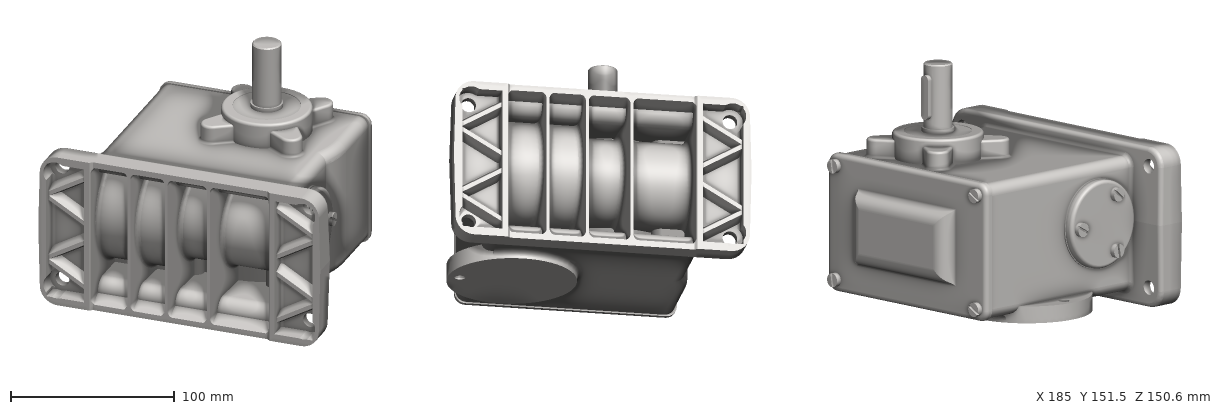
import cadquery as cq
import math


foot_height = 99.9
foot_half_width = 92.5
foot_end_half_width = 91.2
foot_parting_z = 3.0
foot_thickness = 18.5
foot_end_thickness = 16.8
foot_corner_radius = 11.7
foot_back_fillet = 2.8
relief_depth = 1.7
relief_half_width = 57.4

bolt_hole_diameter = 9.0
bolt_x = 81.2
bolt_spacing_z = 75.8
bolt_center_z = 0.5
bolt_z = (bolt_center_z - bolt_spacing_z / 2, bolt_center_z + bolt_spacing_z / 2)
pocket_inner_x = 62.3
pocket_outer_x = 87.3
pocket_half_height = 45.0
pocket_depth = 11.7
pocket_corner_radius = 8.0
pocket_floor_fillet = 1.8
brace_base_width = 7.8
brace_height = 8.0
brace_taper = 18.0
brace_angle = 30.0
brace_inner_offset = 15.7
brace_apex_z = 21.5

housing_left_x = -66.0
housing_narrow_x = 65.7
housing_half_height = 42.2
housing_front_y = 9.2
housing_back_y = 137.5
housing_edge_fillet = 6.8
housing_foot_fillet = 2.2
shaft_x = 18.5
shaft_y = 99.9
housing_shoulder_radius = 51.8
housing_wide_x = shaft_x + housing_shoulder_radius

bays_half_width = 58.5
rib_x = (-33.7, -9.2, 18.5)
rib_tip_thickness = 1.7
bay_corner_radius = 4.3
rib_draft = 3.0
bay_mouth_half_height = 46.6
bay_step_half_height = 43.5
bay_step_y = 13.0
bay_inner_half_height = 35.2
bay_depth = 51.8
drum_radii = (36.0, 36.0, 28.3, 28.3)
bearing_wall_radius = 55.5
bearing_recess_half_width = 20.4
shoulder_wall_y = 41.6
shoulder_wall_fillet = 5.5
drum_fillet = 2.5

cover_y = 47.2
cover_z = 5.2
cover_pad_diameter = 56.0
cover_pad_reach = 67.0
cover_diameter = 55.0
cover_reach = 72.2
cover_fillet = 2.2
cover_screw_circle_radius = 20.4
cover_slot_angles = (60, 50, 10)
cover_bury_x = 61.0

screw_diameter = 8.7
screw_head_height = 3.3
screw_slot_width = 1.5
screw_slot_depth = 1.7

cap_back_y = 142.6
cap_left_x = -66.6
cap_right_x = 71.6
cap_half_height = 43.1
cap_fillet = 3.0
dome_left_x = -39.4
dome_right_x = 44.5
dome_size_z = 46.6
dome_back_y = 151.5
dome_taper = 29.0
dome_fillet = 8.1
dome_base_fillet = 1.5
cap_screw_x = (-58.8, 64.0)
cap_screw_z = 35.5
cap_slot_angles = (60, 10)

boss_diameter = 56.0
boss_top_z = 58.3
boss_fillet = 1.8
seal_diameter = 41.8
seal_recess = 0.4
lug_offset = 25.9
lug_tip_radius = 7.0
lug_flare = 12.0
lug_top_z = 53.8
lug_fillet = 1.7
collar_diameter = 20.0
collar_top_z = 60.5
neck_diameter = 17.8
neck_top_z = 62.3
shaft_diameter = 18.0
shaft_top_z = 100.6
shaft_chamfer = 0.7
key_width = 6.1
key_reach = 11.7
key_bottom_z = 66.5
key_top_z = 94.2

flange_x = -41.3
flange_y = 82.3
flange_diameter = 80.0
flange_bottom_z = -47.5
flange_thickness = 10.5
flange_hole_diameter = 6.7
flange_hole_offset = 32.2
flange_flare = 3.7

pick_margin = 0.2


def box_between(x0, x1, y0, y1, z0, z1):
    """Box given by its two limits on every axis."""
    return cq.Workplane("XY").box(x1 - x0, y1 - y0, z1 - z0, centered=False).translate((x0, y0, z0))


def plane_facing_back(x, y, z):
    """Workplane whose normal is +Y; its local second axis is -Z."""
    return cq.Workplane(cq.Plane(origin=(x, y, z), xDir=(1, 0, 0), normal=(0, 1, 0)))


def slotted_screw(position, outward, slot_angle):
    """Screw head standing on a face; the slot angle turns about the outward direction."""
    seat = cq.Workplane(cq.Plane(origin=position, xDir=(0, 0, 1), normal=outward))
    head = seat.circle(screw_diameter / 2).extrude(screw_head_height)
    slot = (
        seat.workplane(offset=screw_head_height - screw_slot_depth)
        .transformed(rotate=(0, 0, slot_angle))
        .rect(2 * screw_diameter, screw_slot_width)
        .extrude(2 * screw_slot_depth)
    )
    return head.cut(slot)


def make_foot_half(end_z):
    """Half of the foot, drafted from the parting line to the end at end_z."""
    outline = (
        cq.Workplane("XZ")
        .polyline([
            (-foot_half_width, foot_parting_z),
            (-foot_end_half_width, end_z),
            (foot_end_half_width, end_z),
            (foot_half_width, foot_parting_z),
        ])
        .close()
        .extrude(-foot_thickness)
    )
    end_face, parting_edge = ("<Z", ">Z") if end_z < 0 else (">Z", "<Z")
    outline = outline.faces(end_face).edges("|Y").fillet(foot_corner_radius)
    side_profile = (
        cq.Workplane("YZ")
        .polyline([
            (0, foot_parting_z),
            (0, end_z),
            (foot_end_thickness, end_z),
            (foot_thickness, foot_parting_z),
        ])
        .close()
        .extrude(foot_half_width, both=True)
    )
    half = outline.intersect(side_profile)
    return half.faces(">Y").edges(f"not(|X and {parting_edge})").fillet(foot_back_fillet)


def make_foot():
    """Foot flange, split at the parting line of its draft."""
    return make_foot_half(foot_height / 2).union(make_foot_half(-foot_height / 2))


def make_relief():
    """Bevelled channel across the mounting face."""
    relief_edge = relief_half_width + relief_depth
    return (
        cq.Workplane("XY")
        .workplane(offset=-foot_height)
        .polyline([
            (-relief_edge, 0),
            (-relief_half_width, relief_depth),
            (relief_half_width, relief_depth),
            (relief_edge, 0),
        ])
        .close()
        .extrude(2 * foot_height)
    )


def make_foot_pocket(side):
    """Lightening pocket with its zigzag of braces left standing; side is -1 or +1."""
    pocket = box_between(
        pocket_inner_x, pocket_outer_x, 0, pocket_depth, -pocket_half_height, pocket_half_height
    )
    pocket = pocket.faces(">Y").edges("|Z").fillet(pocket_floor_fillet)
    for z in bolt_z:
        corner = plane_facing_back(bolt_x, 0, z).circle(pocket_corner_radius).extrude(pocket_depth)
        pocket = pocket.union(corner)
    run = pocket_outer_x - pocket_inner_x
    brace_length = 2 * run
    slope = math.radians(brace_angle)
    for apex_z in (-brace_apex_z, brace_apex_z):
        for lean in (-1, 1):
            middle_z = apex_z + lean * (brace_inner_offset - run / 2 * math.tan(slope))
            middle = ((pocket_inner_x + pocket_outer_x) / 2, pocket_depth, middle_z)
            along = (-math.cos(slope), 0, lean * math.sin(slope))
            brace = (
                cq.Workplane(cq.Plane(origin=middle, xDir=along, normal=(0, -1, 0)))
                .rect(brace_length, brace_base_width)
                .extrude(brace_height, taper=brace_taper)
            )
            pocket = pocket.cut(brace)
    return pocket if side > 0 else pocket.mirror("YZ")


def make_housing():
    """Rounded box, widened on the right by an arc round the output shaft."""
    height = 2 * housing_half_height
    body = box_between(
        housing_left_x,
        housing_narrow_x,
        housing_front_y,
        housing_back_y,
        -housing_half_height,
        housing_half_height,
    )
    body = body.edges("|Y").fillet(housing_edge_fillet)
    diagonal = housing_shoulder_radius * math.sqrt(0.5)
    shoulder = (
        cq.Workplane("XY")
        .workplane(offset=-housing_half_height)
        .moveTo(shaft_x, shaft_y - housing_shoulder_radius)
        .threePointArc((shaft_x + diagonal, shaft_y - diagonal), (housing_wide_x, shaft_y))
        .lineTo(housing_wide_x, housing_back_y)
        .lineTo(shaft_x, housing_back_y)
        .close()
        .extrude(height)
    )
    right_wall_edges = shoulder.faces(">X").edges("|Y").add(shoulder.edges("%CIRCLE"))
    shoulder = shoulder.newObject(right_wall_edges.vals()).fillet(housing_edge_fillet)
    return body.union(shoulder)


def make_bay_back_wall():
    """Material behind the bays: the round bearing wall between two flat shoulders."""
    wall = (
        cq.Workplane("XY")
        .workplane(offset=-foot_height)
        .center(shaft_x, shaft_y)
        .circle(bearing_wall_radius)
        .extrude(2 * foot_height)
    )
    for side, recess_edge in ((-1, ">X"), (1, "<X")):
        x_limits = sorted((shaft_x + side * bearing_recess_half_width, side * foot_half_width))
        shoulder = box_between(*x_limits, shoulder_wall_y, shaft_y, -foot_height, foot_height)
        shoulder = shoulder.edges(f"|Z and <Y and {recess_edge}").fillet(shoulder_wall_fillet)
        wall = wall.union(shoulder)
    return wall


def make_bay_prism(x_min, x_max, is_first, is_last):
    """Opening between two neighbouring ribs; the outer walls of the end bays have no draft."""
    rib_growth = bay_depth * math.tan(math.radians(rib_draft))
    back_x_min = x_min if is_first else x_min + rib_growth
    back_x_max = x_max if is_last else x_max - rib_growth
    return (
        cq.Workplane("XY")
        .workplane(offset=-bay_mouth_half_height)
        .polyline([(x_min, 0), (x_max, 0), (back_x_max, bay_depth), (back_x_min, bay_depth)])
        .close()
        .extrude(2 * bay_mouth_half_height)
        .faces(">Z or <Z")
        .edges("not(|X)")
        .fillet(bay_corner_radius)
    )


def make_bay_section():
    """Side section of the bays: a wide mouth in the foot that rounds over into the housing."""
    step_radius = bay_step_half_height - bay_inner_half_height
    step_end_y = bay_step_y + step_radius
    return (
        cq.Workplane("YZ")
        .moveTo(0, bay_mouth_half_height)
        .lineTo(bay_step_y, bay_step_half_height)
        .radiusArc((step_end_y, bay_inner_half_height), -step_radius)
        .lineTo(bay_depth, bay_inner_half_height)
        .lineTo(bay_depth, -bay_inner_half_height)
        .lineTo(step_end_y, -bay_inner_half_height)
        .radiusArc((bay_step_y, -bay_step_half_height), -step_radius)
        .lineTo(0, -bay_mouth_half_height)
        .close()
        .extrude(foot_half_width, both=True)
    )


def make_bay(index):
    """Open bay wrapped around the wheel drum, counted from the left."""
    drum_radius = drum_radii[index]
    is_first = index == 0
    is_last = index == len(rib_x)
    x_min = -bays_half_width if is_first else rib_x[index - 1] + rib_tip_thickness / 2
    x_max = bays_half_width if is_last else rib_x[index] - rib_tip_thickness / 2
    drum = (
        cq.Workplane("YZ")
        .center(cover_y, cover_z)
        .circle(drum_radius)
        .extrude(foot_half_width, both=True)
    )
    bay = make_bay_prism(x_min, x_max, is_first, is_last).intersect(make_bay_section()).cut(drum)
    drum_front = ((x_min + x_max) / 2, cover_y - drum_radius, cover_z)
    drum_face = bay.faces("%CYLINDER").faces(cq.selectors.NearestToPointSelector(drum_front))
    bay = drum_face.edges("not(|X)").fillet(drum_fillet)
    return bay.cut(make_bay_back_wall())


def make_cover(side):
    """Round bearing cover on a pad, held by three slotted screws; side is -1 or +1."""
    facing = cq.Workplane("YZ").center(cover_y, cover_z)
    pad = facing.circle(cover_pad_diameter / 2).extrude(side * cover_pad_reach)
    plate = facing.circle(cover_diameter / 2).extrude(side * cover_reach)
    plate = plate.faces("<X" if side < 0 else ">X").edges().fillet(cover_fillet)
    cover = pad.union(plate)
    buried = box_between(
        -cover_bury_x, cover_bury_x, 0, housing_back_y, -housing_half_height, housing_half_height
    )
    cover = cover.cut(buried)
    for index, slot_angle in enumerate(cover_slot_angles):
        angle = math.radians(index * 360 / len(cover_slot_angles))
        position = (
            side * cover_reach,
            cover_y + cover_screw_circle_radius * math.cos(angle),
            cover_z + cover_screw_circle_radius * math.sin(angle),
        )
        cover = cover.union(slotted_screw(position, (side, 0, 0), slot_angle))
    return cover


def make_cap():
    """Rear cap with its dome and four slotted screws."""
    cap = box_between(
        cap_left_x, cap_right_x, housing_back_y, cap_back_y, -cap_half_height, cap_half_height
    )
    cap = cap.edges("|Y").fillet(housing_edge_fillet).faces(">Y").edges().fillet(cap_fillet)
    dome = (
        plane_facing_back((dome_left_x + dome_right_x) / 2, cap_back_y, 0)
        .rect(dome_right_x - dome_left_x, dome_size_z)
        .extrude(dome_back_y - cap_back_y, taper=dome_taper)
        .faces(">Y")
        .edges()
        .fillet(dome_fillet)
    )
    cap = cap.union(dome)
    dome_joint = cq.selectors.BoxSelector(
        (dome_left_x - pick_margin, cap_back_y - pick_margin, -dome_size_z),
        (dome_right_x + pick_margin, cap_back_y + pick_margin, dome_size_z),
        boundingbox=True,
    )
    cap = cap.edges(dome_joint).fillet(dome_base_fillet)
    for x, slot_angle in zip(cap_screw_x, cap_slot_angles):
        for z in (-cap_screw_z, cap_screw_z):
            cap = cap.union(slotted_screw((x, cap_back_y, z), (0, 1, 0), slot_angle))
    return cap


def make_lug(turn):
    """Rounded lug pointing away from the boss, turned about the shaft axis."""
    flare = math.radians(lug_flare)
    reach = lug_offset * math.sqrt(2)
    tangent_x = reach + lug_tip_radius * math.sin(flare)
    tangent_y = lug_tip_radius * math.cos(flare)
    root_y = tangent_y + tangent_x * math.tan(flare)
    lug = (
        cq.Workplane("XY")
        .moveTo(0, -root_y)
        .lineTo(tangent_x, -tangent_y)
        .threePointArc((reach + lug_tip_radius, 0), (tangent_x, tangent_y))
        .lineTo(0, root_y)
        .close()
        .extrude(lug_top_z - housing_half_height)
    )
    lug = lug.faces(">Z").edges("not(<X)").fillet(lug_fillet)
    return lug.rotate((0, 0, 0), (0, 0, 1), turn).translate((shaft_x, shaft_y, housing_half_height))


def make_output():
    """Bearing boss with its four lugs, and the keyed output shaft."""
    axis = cq.Workplane("XY").center(shaft_x, shaft_y)
    boss = axis.circle(boss_diameter / 2).extrude(boss_top_z).faces(">Z").edges().fillet(boss_fillet)
    for turn in (45, 135, 225, 315):
        boss = boss.union(make_lug(turn))
    seal = axis.workplane(offset=boss_top_z - seal_recess).circle(seal_diameter / 2).extrude(seal_recess)
    boss = boss.cut(seal)
    collar = axis.circle(collar_diameter / 2).extrude(collar_top_z)
    neck = axis.circle(neck_diameter / 2).extrude(neck_top_z)
    shaft = (
        axis.workplane(offset=neck_top_z)
        .circle(shaft_diameter / 2)
        .extrude(shaft_top_z - neck_top_z)
        .faces(">Z")
        .chamfer(shaft_chamfer)
    )
    key = (
        cq.Workplane("XZ", origin=(shaft_x, shaft_y, (key_bottom_z + key_top_z) / 2))
        .slot2D(key_top_z - key_bottom_z, key_width, 90)
        .extrude(-key_reach)
    )
    return boss.union(collar).union(neck).union(shaft).union(key)


def make_motor_flange():
    """Round flange under the housing, flared where it meets the housing floor."""
    axis = cq.Workplane("XY").center(flange_x, flange_y)
    radius = flange_diameter / 2
    disc = axis.workplane(offset=flange_bottom_z).circle(radius).extrude(flange_thickness)
    flare = (
        cq.Workplane("XZ")
        .moveTo(0, -housing_half_height - flange_flare)
        .lineTo(radius, -housing_half_height - flange_flare)
        .radiusArc((radius + flange_flare, -housing_half_height), flange_flare)
        .lineTo(0, -housing_half_height)
        .close()
        .revolve(360, (0, 0, 0), (0, 1, 0))
        .translate((flange_x, flange_y, 0))
    )
    footprint = box_between(
        housing_left_x + housing_edge_fillet,
        housing_narrow_x,
        foot_thickness,
        housing_back_y,
        flange_bottom_z,
        0,
    )
    hole = (
        axis.workplane(offset=flange_bottom_z)
        .center(-flange_hole_offset, 0)
        .circle(flange_hole_diameter / 2)
        .extrude(flange_thickness)
    )
    return disc.union(flare.intersect(footprint)).cut(hole)


def make_shell():
    """Foot, housing and output bearing boss, blended where they meet."""
    shell = make_foot().union(make_housing())
    foot_joint = cq.selectors.BoxSelector(
        (housing_left_x - pick_margin, foot_end_thickness - pick_margin, -foot_height),
        (housing_narrow_x + pick_margin, foot_thickness + pick_margin, housing_half_height + pick_margin),
        boundingbox=True,
    )
    shell = shell.edges(foot_joint).fillet(housing_foot_fillet).union(make_output())
    lug_reach = lug_offset + 2 * lug_tip_radius
    boss_joint = cq.selectors.BoxSelector(
        (shaft_x - lug_reach, shaft_y - lug_reach, housing_half_height - pick_margin),
        (shaft_x + lug_reach, shaft_y + lug_reach, housing_half_height + pick_margin),
        boundingbox=True,
    )
    joint_edges = shell.edges(boss_joint)
    lug_tips = joint_edges.edges("%CIRCLE").edges(cq.selectors.RadiusNthSelector(0))
    lug_edges = joint_edges.edges("%LINE").add(lug_tips)
    return lug_edges.fillet(lug_fillet)


result = make_shell()
for side in (-1, 1):
    result = result.union(make_cover(side))
result = result.union(make_cap()).union(make_motor_flange())

result = result.cut(make_relief())
for bay_index in range(len(drum_radii)):
    result = result.cut(make_bay(bay_index))
for side in (-1, 1):
    result = result.cut(make_foot_pocket(side))
    for z in bolt_z:
        hole = plane_facing_back(side * bolt_x, 0, z).circle(bolt_hole_diameter / 2)
        result = result.cut(hole.extrude(2 * foot_thickness))